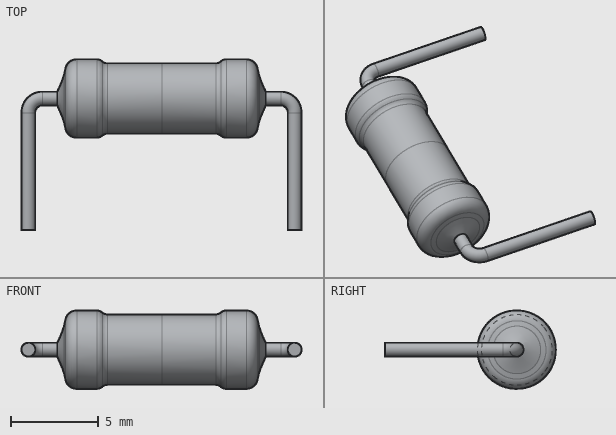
import cadquery as cq
import math

overall_length = 16.04
wire_diameter = 0.8
cap_diameter = 4.5
bend_radius = 0.8
overall_width = 9.78

wire_radius = wire_diameter / 2
cap_radius = cap_diameter / 2
barrel_radius = 2.02
neck_radius = 1.36

tip_x = 5.97
neck_x = 5.58
cap_outer_x = 4.85
cap_inner_x = 3.7
barrel_end_x = 3.1

edge_radius = 0.67
edge_start_radius = 1.67
edge_center_radius = cap_radius - edge_radius
edge_start_angle = math.asin((edge_start_radius - edge_center_radius) / edge_radius)
edge_middle_angle = (edge_start_angle + math.pi / 2) / 2

flare_sag = 0.024

lead_x = overall_length / 2 - wire_radius
lead_end_y = cap_radius - overall_width


def edge_point(angle):
    """Point on the rounded cap edge, angle measured from the outward X direction."""
    return (
        cap_outer_x + edge_radius * math.cos(angle),
        edge_center_radius + edge_radius * math.sin(angle),
    )


def make_half_body():
    """Half of the body on +X, revolved about the X axis."""
    shoulder_middle = (
        (cap_inner_x + barrel_end_x) / 2,
        (cap_radius + barrel_radius) / 2,
    )
    flare_middle = (
        (tip_x + neck_x) / 2 - flare_sag,
        (wire_radius + neck_radius) / 2,
    )
    profile = (
        cq.Workplane("XY")
        .moveTo(0, 0)
        .lineTo(tip_x, 0)
        .lineTo(tip_x, wire_radius)
        .threePointArc(flare_middle, (neck_x, neck_radius))
        .lineTo(*edge_point(edge_start_angle))
        .threePointArc(edge_point(edge_middle_angle), (cap_outer_x, cap_radius))
        .lineTo(cap_inner_x, cap_radius)
        .tangentArcPoint(shoulder_middle, relative=False)
        .tangentArcPoint((barrel_end_x, barrel_radius), relative=False)
        .lineTo(0, barrel_radius)
        .close()
    )
    return profile.revolve(360, (0, 0, 0), (1, 0, 0))


def make_lead():
    """Wire on +X: straight out of the body, a quarter bend, then straight to its end."""
    bend_start_x = lead_x - bend_radius
    path = (
        cq.Workplane("XY")
        .lineTo(bend_start_x, 0)
        .radiusArc((lead_x, -bend_radius), bend_radius)
        .lineTo(lead_x, lead_end_y)
    )
    return cq.Workplane("YZ").circle(wire_radius).sweep(path)


half = make_half_body().union(make_lead())
result = half.union(half.mirror("YZ")).clean()